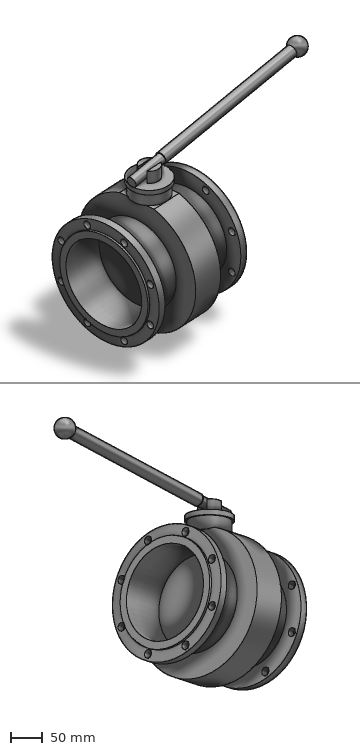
import cadquery as cq
import math

face_to_face = 219.5
bore_diameter = 159.0
pipe_diameter = 165.0
band_diameter = 247.3
band_width = 60.0
flange_diameter = 225.0
flange_thickness = 14.0
raised_face_diameter = 185.5
raised_face_height = 4.5
disc_thickness = band_width

bolt_count = 8
bolt_diameter = 14.0
bolt_circle_diameter = 202.3

neck_diameter = 72.0
collar_diameter = 79.0
collar_bottom = 141.0
collar_thickness = 8.5
stem_diameter = 38.5
stem_height = 23.0

shank_diameter = 19.0
grip_diameter = 22.0
ball_diameter = 35.0
lever_tilt = 8.0
ball_center_y = 356.5
ball_center_z = 216.5
lever_length = 403.5
shank_length = 71.5

half_length = face_to_face / 2
flange_outer = half_length - raised_face_height
flange_inner = flange_outer - flange_thickness
collar_top = collar_bottom + collar_thickness
seat_height = math.sqrt(band_diameter**2 - neck_diameter**2) / 2
slot_width = shank_diameter


def flow_cylinder(diameter, y_start, y_end):
    """Cylinder on the flow axis between two Y positions."""
    return cq.Workplane("XZ", origin=(0, y_start, 0)).circle(diameter / 2).extrude(y_start - y_end)


def upright_cylinder(diameter, z_start, z_end):
    """Cylinder on the stem axis between two Z positions."""
    return cq.Workplane("XY").workplane(offset=z_start).circle(diameter / 2).extrude(z_end - z_start)


def make_band():
    """Central band with a flat seat on top for the neck."""
    band = flow_cylinder(band_diameter, -band_width / 2, band_width / 2)
    seat_cutter = (
        cq.Workplane("XY")
        .workplane(offset=seat_height)
        .rect(band_diameter, band_diameter)
        .extrude(band_diameter)
    )
    return band.cut(seat_cutter)


def make_flange(side):
    """Drilled flange with a raised face; side is -1 for the -Y end and 1 for the +Y end."""
    flange = flow_cylinder(flange_diameter, side * flange_inner, side * flange_outer)
    raised_face = flow_cylinder(raised_face_diameter, side * flange_outer, side * half_length)
    bolt_holes = (
        cq.Workplane("XZ", origin=(0, side * flange_inner, 0))
        .polarArray(bolt_circle_diameter / 2, 180 / bolt_count, 360, bolt_count)
        .circle(bolt_diameter / 2)
        .extrude(-side * flange_thickness)
    )
    return flange.cut(bolt_holes).union(raised_face)


def make_stem():
    """Round stem with a slot along Y that receives the lever shank."""
    stem = upright_cylinder(stem_diameter, collar_top, collar_top + stem_height)
    slot = (
        cq.Workplane("XY")
        .workplane(offset=collar_top)
        .rect(slot_width, stem_diameter)
        .extrude(stem_height)
    )
    return stem.cut(slot)


def make_housing():
    """Flanged pipe closed by a central disc, with the band, neck, collar and stem."""
    housing = flow_cylinder(pipe_diameter, -half_length, half_length).union(make_band())
    for side in (-1, 1):
        housing = housing.union(make_flange(side))
    for side in (-1, 1):
        housing = housing.cut(flow_cylinder(bore_diameter, side * disc_thickness / 2, side * half_length))
    neck = upright_cylinder(neck_diameter, seat_height, collar_bottom)
    collar = upright_cylinder(collar_diameter, collar_bottom, collar_top)
    return housing.union(neck).union(collar).union(make_stem())


def make_lever():
    """Tilted lever, running from its shank end to the centre of its ball."""
    tilt = math.radians(lever_tilt)
    direction = cq.Vector(0, math.cos(tilt), math.sin(tilt))
    ball_center = cq.Vector(0, ball_center_y, ball_center_z)
    shank_start = ball_center - direction * lever_length
    grip_start = shank_start + direction * shank_length
    grip_length = lever_length - shank_length
    shank = cq.Solid.makeCylinder(shank_diameter / 2, shank_length, shank_start, direction)
    grip = cq.Solid.makeCylinder(grip_diameter / 2, grip_length, grip_start, direction)
    ball = cq.Workplane("XY").sphere(ball_diameter / 2).translate(ball_center)
    return ball.union(cq.Workplane(shank)).union(cq.Workplane(grip))


housing = make_housing()
lever = make_lever()

result = cq.Compound.makeCompound([housing.solids().val(), lever.solids().val()])